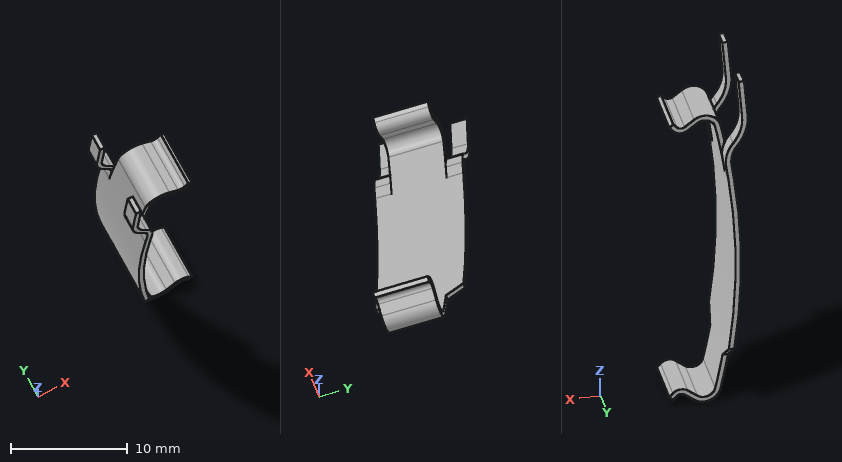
import cadquery as cq
import math

thickness = 0.5
full_width = 8.0
tab_width = 1.5
neck_width = full_width - 2 * tab_width
total_height = 32.8
half_height = 14.4

bow_radius = 60.68 - thickness / 2
bend_radius = 1.0 + thickness / 2
bow_angle = math.degrees(math.asin((half_height - bend_radius - thickness / 2) / (bow_radius - bend_radius)))
hook_heading = 127.0
hook_straight = 1.05
lip_radius = 0.5 + thickness / 2
lip_heading = 43.0
lip_straight = 0.5

shoulder_z = 8.7
root_heading = math.degrees(math.asin(shoulder_z / bow_radius))
root_straight = 1.38
lower_radius = 2.4 + thickness / 2
lean_heading = -38.6
upper_radius = 4.2 - thickness / 2
tip_heading = 5.0

taper_top_z = -8.43
taper_bottom_z = -9.87


def side_points(center, heading):
    """Points on the left and right faces of the sheet."""
    angle = math.radians(heading)
    across = (math.cos(angle) * thickness / 2, -math.sin(angle) * thickness / 2)
    left = (center[0] - across[0], center[1] - across[1])
    right = (center[0] + across[0], center[1] + across[1])
    return left, right


def advance(center, heading, size, turn):
    """Follow a straight of length `size`, or an arc of radius `size` when `turn` is not zero."""
    start = math.radians(heading)
    end = math.radians(heading + turn)
    if turn == 0:
        return center[0] + size * math.sin(start), center[1] + size * math.cos(start)
    radius = math.copysign(size, turn)
    return (
        center[0] + radius * (math.cos(start) - math.cos(end)),
        center[1] + radius * (math.sin(end) - math.sin(start)),
    )


def bent_strip(segments, width):
    """Sheet starting upward at the middle of the bow and following (size, turn) segments."""
    center = (thickness / 2, 0.0)
    heading = 0.0
    start_left, start_right = side_points(center, heading)
    outline = cq.Workplane("XZ").moveTo(*start_left)
    return_path = []
    previous_right = start_right
    for size, turn in segments:
        middle = None
        if turn == 0:
            center = advance(center, heading, size, turn)
            left, right = side_points(center, heading)
            outline = outline.lineTo(*left)
        else:
            mid_center = advance(center, heading, size, turn / 2)
            mid_left, middle = side_points(mid_center, heading + turn / 2)
            center = advance(center, heading, size, turn)
            heading += turn
            left, right = side_points(center, heading)
            outline = outline.threePointArc(mid_left, left)
        return_path.append((middle, previous_right))
        previous_right = right
    outline = outline.lineTo(*previous_right)
    for middle, target in reversed(return_path):
        if middle is None:
            outline = outline.lineTo(*target)
        else:
            outline = outline.threePointArc(middle, target)
    return outline.close().extrude(width / 2, both=True)


def make_hooked_half(width):
    return bent_strip(
        [
            (bow_radius, bow_angle),
            (bend_radius, hook_heading - bow_angle),
            (hook_straight, 0),
            (lip_radius, lip_heading - hook_heading),
            (lip_straight, 0),
        ],
        width,
    )


def make_lower_half():
    """Full-width hooked half, narrowed to the neck through the two tapers."""
    lower = make_hooked_half(full_width).mirror("XY")
    silhouette = (
        cq.Workplane("YZ")
        .moveTo(-full_width / 2, 0)
        .lineTo(-full_width / 2, taper_top_z)
        .lineTo(-neck_width / 2, taper_bottom_z)
        .lineTo(-neck_width / 2, -total_height)
        .lineTo(neck_width / 2, -total_height)
        .lineTo(neck_width / 2, taper_bottom_z)
        .lineTo(full_width / 2, taper_top_z)
        .lineTo(full_width / 2, 0)
        .close()
        .extrude(total_height, both=True)
    )
    return lower.intersect(silhouette)


def make_tabbed_side():
    """Side strip of the upper half, kinked outward into a tab."""
    bends = [
        (bow_radius, root_heading),
        (root_straight, 0),
        (lower_radius, lean_heading - root_heading),
        (upper_radius, tip_heading - lean_heading),
    ]
    center = (thickness / 2, 0.0)
    heading = 0.0
    for size, turn in bends:
        center = advance(center, heading, size, turn)
        heading += turn
    tip_angle = math.radians(tip_heading)
    tip_z = total_height - half_height - thickness / 2 * math.sin(tip_angle)
    tip_straight = (tip_z - center[1]) / math.cos(tip_angle)
    return bent_strip(bends + [(tip_straight, 0)], tab_width)


result = make_lower_half().union(make_hooked_half(neck_width))
for side in (-1, 1):
    tab_y = side * (full_width - tab_width) / 2
    result = result.union(make_tabbed_side().translate((0, tab_y, 0)))